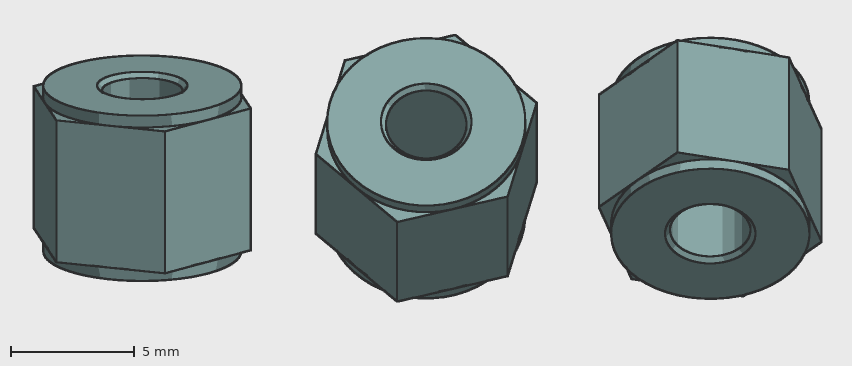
import cadquery as cq
import math

across_corners = 9.24
height = 7.0
collar_height = 0.5
bore_diameter = 3.24
bore_chamfer = 0.2

across_flats = across_corners * math.cos(math.radians(30))
hex_height = height - 2 * collar_height


def hex_body():
    """Hexagonal prism centred on the origin, with corners on the X axis."""
    return cq.Workplane("XY").polygon(6, across_corners).extrude(hex_height / 2, both=True)


def collar_cylinder():
    """Full-height cylinder whose ends form the two collars."""
    return cq.Workplane("XY").circle(across_flats / 2).extrude(height / 2, both=True)


def bore_cutter():
    """Through bore with a 45 degree countersink at both ends."""
    bore_radius = bore_diameter / 2
    mouth_radius = bore_radius + bore_chamfer
    end = height / 2
    chamfer_start = end - bore_chamfer
    return (
        cq.Workplane("XZ")
        .moveTo(0, -end)
        .lineTo(mouth_radius, -end)
        .lineTo(bore_radius, -chamfer_start)
        .lineTo(bore_radius, chamfer_start)
        .lineTo(mouth_radius, end)
        .lineTo(0, end)
        .close()
        .revolve(360, (0, 0, 0), (0, 1, 0))
    )


result = hex_body().union(collar_cylinder()).cut(bore_cutter())